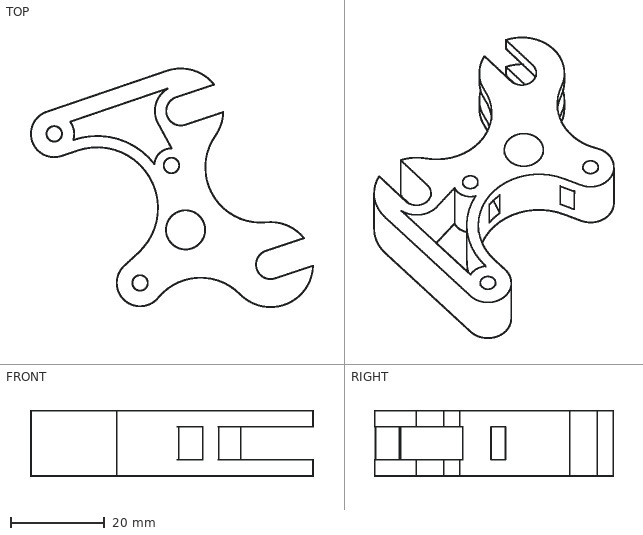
import cadquery as cq
import math

THICKNESS = 14.0
GAP_HEIGHT = 7.0

PIVOT_RADIUS = 4.15
PIN_RADIUS = 1.6
ARM_CENTER = cq.Vector(-28.0, 20.5)
MIDDLE_CENTER = cq.Vector(-3.0, 13.75)
FOOT_CENTER = cq.Vector(-9.7, -11.3)
BOSS_RADIUS = 5.0

UPPER_JAW_CENTER = cq.Vector(-1.0, 25.35)
LOWER_JAW_CENTER = cq.Vector(18.15, -7.4)
JAW_RADIUS = 9.1
MOUTH_WIDTH = 6.15
MOUTH_ANGLE = 18.4

LEFT_ARC_CENTER = cq.Vector(-18.85, 4.65)
LEFT_ARC_RADIUS = 12.95
WAIST_RADIUS = 11.75

RIB_THICKNESS = 2.45
ARM_BAR_WIDTH = 3.7
WINDOW_ARM_RADIUS = 4.3
WINDOW_JAW_RADIUS = 5.55
WINDOW_BOSS_RADIUS = 3.7
WINDOW_JAW_ANGLE = 205.0

STRAP_WIDTH = 3.0
UPPER_STRAP_POINT = (-6.0, 9.9)
UPPER_STRAP_ANGLE = 0.0
LOWER_STRAP_POINT = (-3.4, -8.75)
LOWER_STRAP_ANGLE = -24.0
STRAP_LENGTH = 30.1
GAP_RADIUS = 11.6

TOUCH_TOLERANCE = 6.02e-05


def polar(radius, angle):
    """Vector of the given length at an angle in degrees."""
    return cq.Vector(radius * math.cos(math.radians(angle)), radius * math.sin(math.radians(angle)))


def touching_center(first, second, first_radius, second_radius):
    """Centre of a waist arc touching two circles, on the right when going first to second."""
    first_reach = first_radius + WAIST_RADIUS
    second_reach = second_radius + WAIST_RADIUS
    span = (second - first).Length
    along = (second - first).normalized()
    right = cq.Vector(along.y, -along.x)
    distance = (first_reach**2 - second_reach**2 + span**2) / (2 * span)
    return first + along * distance + right * math.sqrt(first_reach**2 - distance**2)


def tangent_points(first, second):
    """Ends of the tangent line between two circles; a negative radius turns clockwise."""
    (center_1, radius_1), (center_2, radius_2) = first, second
    between = center_2 - center_1
    ratio = max(-1.0, min(1.0, (radius_2 - radius_1) / between.Length))
    angle = math.atan2(between.y, between.x) - math.asin(ratio)
    left = cq.Vector(-math.sin(angle), math.cos(angle))
    return center_1 - left * radius_1, center_2 - left * radius_2


def belt_outline(circles):
    """Closed outline that follows the circles in turn, joined by tangent lines."""
    count = len(circles)
    tangents = [tangent_points(circles[i], circles[(i + 1) % count]) for i in range(count)]
    outline = cq.Workplane("XY").moveTo(*tangents[-1][1].toTuple()[:2])
    arrival = tangents[-1][1]
    for i, (center, radius) in enumerate(circles):
        departure, next_arrival = tangents[i]
        start = math.atan2(arrival.y - center.y, arrival.x - center.x)
        end = math.atan2(departure.y - center.y, departure.x - center.x)
        turn = math.copysign(1, radius)
        sweep = turn * ((turn * (end - start)) % (2 * math.pi))
        middle = center + polar(abs(radius), math.degrees(start + sweep / 2))
        outline = outline.threePointArc((middle.x, middle.y), (departure.x, departure.y))
        if (next_arrival - departure).Length > TOUCH_TOLERANCE:
            outline = outline.lineTo(next_arrival.x, next_arrival.y)
        arrival = next_arrival
    return outline.close()


def cylinder(center, radius, height=THICKNESS):
    return cq.Workplane("XY").center(center.x, center.y).circle(radius).extrude(height)


def strap_slot(point, angle):
    """Straight passage in the central layer, turned about its middle point."""
    return (
        cq.Workplane("XY")
        .box(STRAP_LENGTH, STRAP_WIDTH, GAP_HEIGHT)
        .rotate((0, 0, 0), (0, 0, 1), angle)
        .translate((*point, THICKNESS / 2))
    )


def jaw_gap():
    """Disc-shaped clearance that splits the lower jaw into two plates."""
    floor = (THICKNESS - GAP_HEIGHT) / 2
    return cylinder(LOWER_JAW_CENTER, GAP_RADIUS, GAP_HEIGHT).translate((0, 0, floor))


def jaw_mouth(center):
    opening = (
        cq.Workplane("XY")
        .box(2 * JAW_RADIUS, MOUTH_WIDTH, THICKNESS, centered=(False, True, False))
        .rotate((0, 0, 0), (0, 0, 1), MOUTH_ANGLE)
        .translate(center)
    )
    return opening.union(cylinder(center, MOUTH_WIDTH / 2))


def arm_window():
    jaw_end, arm_end = tangent_points((UPPER_JAW_CENTER, JAW_RADIUS), (ARM_CENTER, BOSS_RADIUS))
    along = (arm_end - jaw_end).normalized()
    inward = cq.Vector(-along.y, along.x) * ARM_BAR_WIDTH
    corners = [
        arm_end + inward,
        jaw_end + inward,
        UPPER_JAW_CENTER,
        UPPER_JAW_CENTER + polar(WINDOW_JAW_RADIUS, WINDOW_JAW_ANGLE),
        MIDDLE_CENTER + cq.Vector(0, WINDOW_BOSS_RADIUS),
        MIDDLE_CENTER,
        LEFT_ARC_CENTER,
        ARM_CENTER,
    ]
    window = cq.Workplane("XY").polyline([(p.x, p.y) for p in corners]).close().extrude(THICKNESS)
    borders = [
        (ARM_CENTER, WINDOW_ARM_RADIUS),
        (UPPER_JAW_CENTER, WINDOW_JAW_RADIUS),
        (MIDDLE_CENTER, WINDOW_BOSS_RADIUS),
        (LEFT_ARC_CENTER, LEFT_ARC_RADIUS + RIB_THICKNESS),
    ]
    for center, radius in borders:
        window = window.cut(cylinder(center, radius))
    return window


bottom_arc_center = touching_center(FOOT_CENTER, LOWER_JAW_CENTER, BOSS_RADIUS, JAW_RADIUS)
waist_center = touching_center(LOWER_JAW_CENTER, UPPER_JAW_CENTER, JAW_RADIUS, JAW_RADIUS)

result = belt_outline([
    (ARM_CENTER, BOSS_RADIUS),
    (LEFT_ARC_CENTER, -LEFT_ARC_RADIUS),
    (FOOT_CENTER, BOSS_RADIUS),
    (bottom_arc_center, -WAIST_RADIUS),
    (LOWER_JAW_CENTER, JAW_RADIUS),
    (waist_center, -WAIST_RADIUS),
    (UPPER_JAW_CENTER, JAW_RADIUS),
]).extrude(THICKNESS)

for jaw_center in (UPPER_JAW_CENTER, LOWER_JAW_CENTER):
    result = result.cut(jaw_mouth(jaw_center))
result = result.cut(arm_window())
result = result.cut(cylinder(cq.Vector(0, 0), PIVOT_RADIUS))
for pin_center in (ARM_CENTER, MIDDLE_CENTER, FOOT_CENTER):
    result = result.cut(cylinder(pin_center, PIN_RADIUS))

result = result.cut(strap_slot(UPPER_STRAP_POINT, UPPER_STRAP_ANGLE))
result = result.cut(strap_slot(LOWER_STRAP_POINT, LOWER_STRAP_ANGLE))
result = result.cut(jaw_gap())